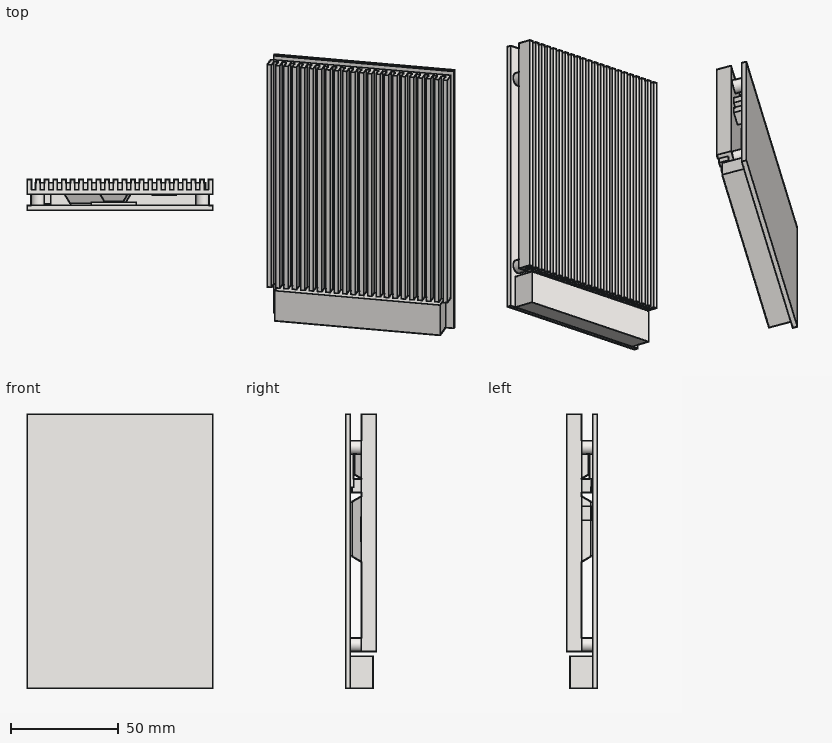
import cadquery as cq


board_width = 86.0
board_height = 127.0
board_thickness = 2.3

overall_depth = 14.4
sink_height = 110.0
sink_depth = 7.0
sink_base_thickness = 2.2
fin_count = 22
fin_width = 2.0

standoff_diameter = 6.4
standoff_side_inset = 4.8
standoff_top_inset = 15.4

stop_size = 6.4
stop_left = 4.6
stop_board_gap = 0.6
stop_depths_from_top = (33.1, 45.8)

small_chip_size = 21.0
small_chip_thickness = 1.5
small_chip_center_x = 40.1
small_chip_from_top = 23.4
small_boss_width = 12.6
small_boss_height = 13.0
small_boss_gap = 0.4

large_chip_size = 24.9
large_chip_thickness = 0.9
large_chip_center_x = 32.6
large_chip_from_top = 53.2
large_boss_size = 30.5

boss_taper = 30.0

pad_size = 11.2
pad_thickness = 0.4
pad_center_x = 63.5

connector_left_inset = 3.8
connector_right_inset = 3.2
connector_height = 15.0
connector_depth = 10.5

sink_bottom = board_height - sink_height
sink_front = overall_depth - sink_depth
fin_root = sink_front + sink_base_thickness
fin_depth = sink_depth - sink_base_thickness
fin_pitch = (board_width - fin_width) / (fin_count - 1)
fin_gap = fin_pitch - fin_width
standoff_length = sink_front - board_thickness


def box(x_min, y_min, z_min, width, depth, height):
    """Box from its corner of least X, Y and Z."""
    return cq.Workplane("XY").box(width, depth, height, centered=False).translate((x_min, y_min, z_min))


def front_of_sink(x, z):
    """Workplane on the heatsink's front face at (x, z), facing the board."""
    return cq.Workplane("XZ", origin=(x, sink_front, z))


def make_board():
    return box(0, 0, 0, board_width, board_thickness, board_height)


def make_connector():
    width = board_width - connector_left_inset - connector_right_inset
    return box(connector_left_inset, board_thickness, 0, width, connector_depth, connector_height)


def make_chip(center_x, from_top, size, thickness):
    """Square chip lying on the back of the board."""
    center_z = board_height - from_top
    return box(center_x - size / 2, board_thickness, center_z - size / 2, size, thickness, size)


def make_finned_plate():
    plate = box(0, sink_front, sink_bottom, board_width, sink_depth, sink_height)
    for index in range(fin_count - 1):
        gap_left = index * fin_pitch + fin_width
        gap = box(gap_left, fin_root, sink_bottom, fin_gap, fin_depth, sink_height)
        plate = plate.cut(gap)
    return plate


def make_standoffs():
    left = standoff_side_inset
    right = board_width - standoff_side_inset
    lower = sink_bottom + standoff_diameter / 2
    upper = board_height - standoff_top_inset
    corners = [(x, z) for x in (left, right) for z in (lower, upper)]
    return front_of_sink(0, 0).pushPoints(corners).circle(standoff_diameter / 2).extrude(standoff_length)


def make_stop(from_top):
    length = standoff_length - stop_board_gap
    base = front_of_sink(stop_left + stop_size / 2, board_height - from_top)
    return base.rect(stop_size, stop_size).extrude(length)


def make_boss(center_x, from_top, width, height, length):
    """Rectangular boss that narrows from the heatsink towards the board."""
    base = front_of_sink(center_x, board_height - from_top)
    return base.rect(width, height).extrude(length, taper=boss_taper)


def make_pad():
    """Shallow pad level with the large boss."""
    base = front_of_sink(pad_center_x, board_height - large_chip_from_top)
    return base.rect(pad_size, pad_size).extrude(pad_thickness)


def make_heatsink():
    sink = make_finned_plate().union(make_standoffs())
    for from_top in stop_depths_from_top:
        sink = sink.union(make_stop(from_top))

    small_boss_length = standoff_length - small_chip_thickness - small_boss_gap
    small_boss = make_boss(
        small_chip_center_x, small_chip_from_top, small_boss_width, small_boss_height, small_boss_length
    )
    large_boss_length = standoff_length - large_chip_thickness
    large_boss = make_boss(
        large_chip_center_x, large_chip_from_top, large_boss_size, large_boss_size, large_boss_length
    )
    return sink.union(small_boss).union(large_boss).union(make_pad())


board = make_board()
connector = make_connector()
small_chip = make_chip(small_chip_center_x, small_chip_from_top, small_chip_size, small_chip_thickness)
large_chip = make_chip(large_chip_center_x, large_chip_from_top, large_chip_size, large_chip_thickness)
heatsink = make_heatsink()

result = cq.Compound.makeCompound(
    [board.val(), connector.val(), small_chip.val(), large_chip.val(), heatsink.val()]
)